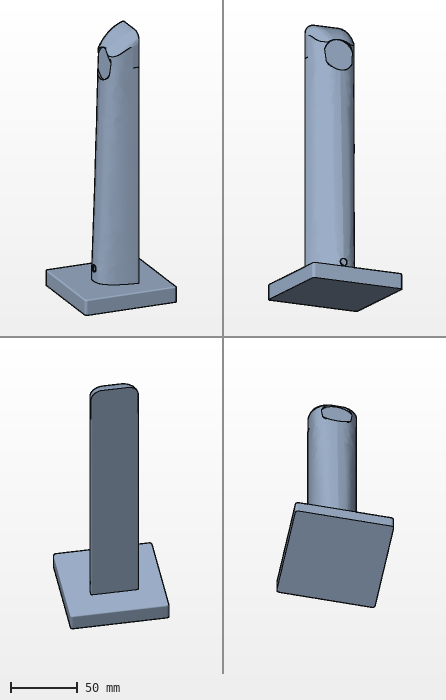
import cadquery as cq

base_side = 75.0
base_height = 12.0
base_corner_radius = 2.1
base_top_radius = 1.0

total_height = 210.7
arm_half_width = 18.3
back_y = 15.2
back_edge_radius = 1.5
side_direction = (0.1, 1)
front_y_bottom = -14.7
front_y_top = -7.2
shoulder_bottom = (13.7, -5.0)
shoulder_top = (13.0, -4.0)

recess_diameter = 24.5
recess_z = 183.7
recess_floor_y = -5.7
recess_tilt = 5.0

head_back_half_width = 18.0
head_mid_y = 4.0
head_mid_half_width = 17.3
head_mid_top = 205.5
head_mid_corner_radius = 9.7
head_front_y = -6.5
head_front_half_width = 13.5
head_front_top = 194.7
head_back_corner_radius = 8.0
head_front_corner_radius = 10.1

foot_hole_diameter = 5.5
foot_hole_z = 22.0
foot_hole_depth = 1.3


def make_base():
    plate = cq.Workplane("XY").box(base_side, base_side, base_height, centered=(True, True, False))
    plate = plate.edges("|Z").fillet(base_corner_radius)
    return plate.faces(">Z").edges().fillet(base_top_radius)


def arm_section(z, front_y, shoulder):
    """Wire around the +X half of the D-shaped arm at height z."""
    side_y = back_y - back_edge_radius
    return (
        cq.Workplane("XY", origin=(0, 0, z))
        .moveTo(0, front_y)
        .spline(
            [shoulder, (arm_half_width, side_y)],
            tangents=[(1, 0), side_direction],
            includeCurrent=True,
        )
        .radiusArc((arm_half_width - back_edge_radius, back_y), -back_edge_radius)
        .lineTo(0, back_y)
        .close()
        .val()
    )


def make_half_arm():
    bottom = arm_section(base_height, front_y_bottom, shoulder_bottom)
    top = arm_section(total_height, front_y_top, shoulder_top)
    return cq.Workplane(cq.Solid.makeLoft([bottom, top], True))


def head_section(y, half_width, top, corner_radius):
    """Upright wire around the +X half of the head at depth y, with a rounded upper corner."""
    return (
        cq.Workplane("XZ", origin=(0, y, 0))
        .moveTo(0, recess_z)
        .lineTo(0, top)
        .lineTo(half_width - corner_radius, top)
        .radiusArc((half_width, top - corner_radius), corner_radius)
        .lineTo(half_width, recess_z)
        .close()
        .val()
    )


def make_half_head_envelope():
    back = head_section(back_y, head_back_half_width, total_height, head_back_corner_radius)
    middle = head_section(head_mid_y, head_mid_half_width, head_mid_top, head_mid_corner_radius)
    front = head_section(head_front_y, head_front_half_width, head_front_top, head_front_corner_radius)
    return cq.Workplane(cq.Solid.makeLoft([back, middle, front]))


def front_cylinder(diameter, z, floor_y):
    """Cutter running from the given floor out past the front of the base."""
    return (
        cq.Workplane("XZ", origin=(0, floor_y, z))
        .circle(diameter / 2)
        .extrude(floor_y + base_side / 2)
    )


half_arm = make_half_arm()
above_recess_axis = cq.Workplane("XY", origin=(0, 0, recess_z)).box(
    base_side, base_side, total_height, centered=(True, True, False)
)
half_head = half_arm.intersect(make_half_head_envelope())
half_arm = half_arm.cut(above_recess_axis).union(half_head)
arm = half_arm.union(half_arm.mirror("YZ"))
recess = front_cylinder(recess_diameter, recess_z, recess_floor_y).rotate(
    (0, recess_floor_y, recess_z), (1, recess_floor_y, recess_z), -recess_tilt
)
arm = arm.cut(recess)
arm = arm.cut(front_cylinder(foot_hole_diameter, foot_hole_z, front_y_bottom + foot_hole_depth))

result = make_base().union(arm)